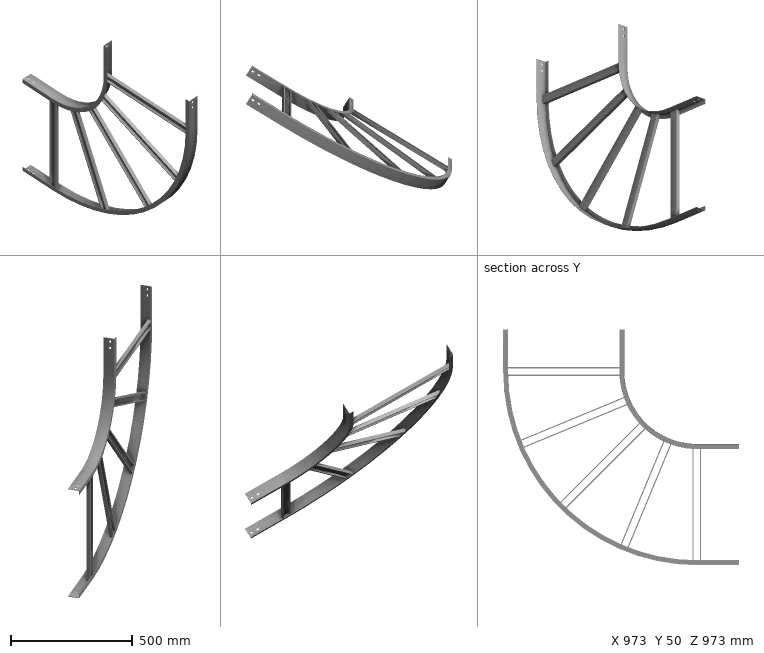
import cadquery as cq
import math

overall = 973.0
rail_height = 50.0
sheet = 2.0

straight = 173.0
ladder_width = 500.0
flange = 20.0
outer_radius = overall - straight
inner_radius = outer_radius - ladder_width

rung_count = 5
rung_width = 36.0
rung_depth = 17.0
rung_lip = 5.0

slot_length = 11.0
slot_width = 7.0
slot_y = 20.0
slot_distances = (16.0, 45.0)

centre_x = straight
centre_z = overall - straight


def rail(radius, flange_side):
    """Angle section, its outer corner rounded by the fold, swept along the bend.

    The outside of the web follows the given radius. A flange_side of 1 turns the
    flange toward the bend centre and -1 turns it away from the centre.
    """
    base_z = centre_z - radius
    diagonal = math.sqrt(0.5)
    web_inside = base_z + flange_side * sheet
    flange_edge = base_z + flange_side * flange
    bend_middle = sheet * (1 - diagonal)
    section = (
        cq.Workplane("YZ")
        .moveTo(rail_height, base_z)
        .lineTo(sheet, base_z)
        .threePointArc((bend_middle, base_z + flange_side * bend_middle), (0, web_inside))
        .lineTo(0, flange_edge)
        .lineTo(sheet, flange_edge)
        .lineTo(sheet, web_inside)
        .lineTo(rail_height, web_inside)
        .close()
    )
    path = (
        cq.Workplane("XZ")
        .moveTo(0, base_z)
        .lineTo(centre_x, base_z)
        .threePointArc(
            (centre_x + radius * diagonal, centre_z - radius * diagonal),
            (centre_x + radius, centre_z),
        )
        .lineTo(centre_x + radius, overall)
    )
    return section.sweep(path)


def bar(length, depth, width):
    """Bar along +X from the origin, its front at y = 0 and centred on z = 0."""
    return cq.Workplane("XY").box(length, depth, width, centered=(False, False, True))


def rung(angle):
    """Channel running radially between the webs of the two rails."""
    start = inner_radius + sheet / 2
    length = outer_radius - sheet / 2 - start
    body = bar(length, rung_depth, rung_width)
    hollow = bar(length, rung_depth - 2 * sheet, rung_width - 2 * sheet).translate((0, sheet, 0))
    mouth = bar(length, rung_depth / 2, rung_width - 2 * rung_lip)
    channel = body.cut(hollow).cut(mouth).translate((start, sheet, 0))
    return channel.rotate((0, 0, 0), (0, 1, 0), angle).translate((centre_x, 0, centre_z))


def slot_cutters(distance):
    """Cutters through both rails, at a distance from their left and upper ends."""
    left_end = cq.Workplane("XY").box(slot_length, slot_width, overall, centered=(True, True, False))
    upper_end = cq.Workplane("XY").box(overall, slot_width, slot_length, centered=(False, True, True))
    left_end = left_end.translate((distance, slot_y, 0))
    upper_end = upper_end.translate((0, slot_y, overall - distance))
    return left_end.union(upper_end)


result = rail(inner_radius, -1).union(rail(outer_radius, 1))
for slot_distance in slot_distances:
    result = result.cut(slot_cutters(slot_distance))
for index in range(rung_count):
    result = result.union(rung(index * 90 / (rung_count - 1)))